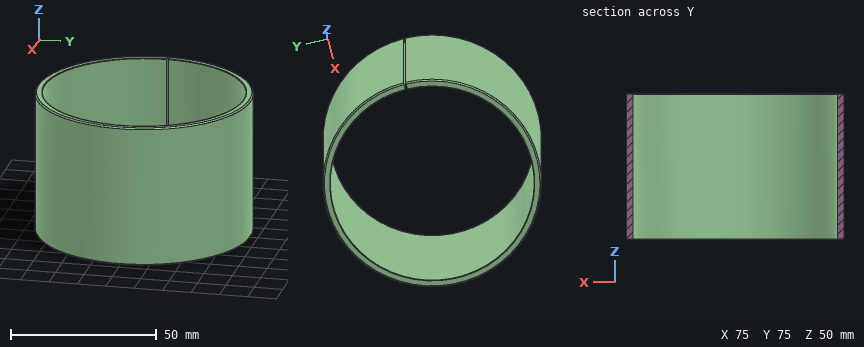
import cadquery as cq

outer_diameter = 75.0
inner_diameter = 70.0
length = 50.0
outer_chamfer = 0.5
inner_chamfer = 0.2
gap_angle = 1.0

outer_radius = outer_diameter / 2
inner_radius = inner_diameter / 2


def make_wall_section():
    """Wall cross-section on the -X side of the XZ plane, with chamfered corners."""
    return (
        cq.Workplane("XZ")
        .moveTo(-inner_radius - inner_chamfer, 0)
        .lineTo(-outer_radius + outer_chamfer, 0)
        .lineTo(-outer_radius, outer_chamfer)
        .lineTo(-outer_radius, length - outer_chamfer)
        .lineTo(-outer_radius + outer_chamfer, length)
        .lineTo(-inner_radius - inner_chamfer, length)
        .lineTo(-inner_radius, length - inner_chamfer)
        .lineTo(-inner_radius, inner_chamfer)
        .close()
    )


def make_bush():
    """Sweep the wall round the Z axis, stopping short to leave the split on the +Y side of its start."""
    return make_wall_section().revolve(360 - gap_angle, (0, 0, 0), (0, 1, 0))


result = make_bush()